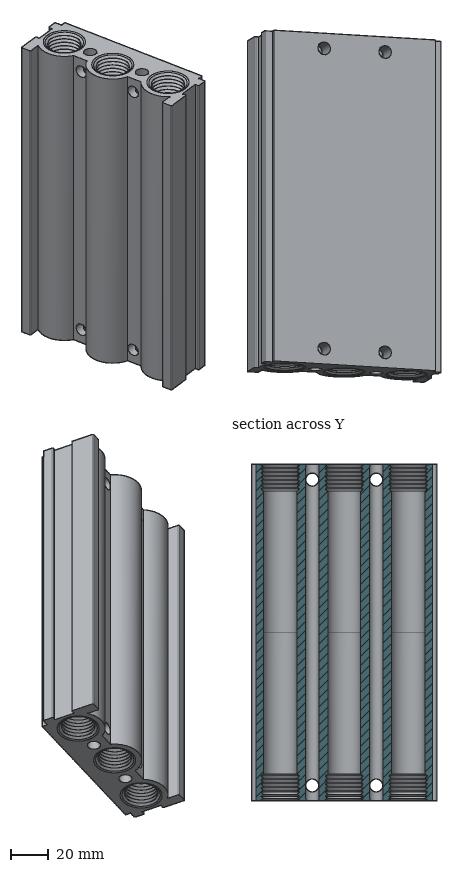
import cadquery as cq

width = 98.0
depth = 33.5
length = 178.0

back_width = 89.5
back_step_depth = 3.0
web_depth = 23.7

slot_floor_width = 93.5
slot_start = 9.0
slot_end = 20.1
slot_flare = 0.4

leg_width = 6.0

corner_radius = 0.5

boss_radius = 14.2
bore_spacing = 33.8
side_bore_y = -15.7
center_bore_y = -18.7
bore_diameter = 17.6
bores = [
    (-bore_spacing, side_bore_y),
    (0, center_bore_y),
    (bore_spacing, side_bore_y),
]

thread_mouth_diameter = 22.2
thread_root_diameter = 20.3
thread_pitch = 2.1
thread_turns = 7
thread_chamfer_depth = 0.4

small_hole_x = bore_spacing / 2
long_hole_diameter = 7.0
cross_hole_diameter = 6.8
cross_hole_end_distance = 8.2


def half_profile():
    """Points of the right half of the section, without the round bosses."""
    outer_x = width / 2
    back_x = back_width / 2
    leg_x = outer_x - leg_width
    return [
        (0, 0),
        (back_x, 0),
        (back_x, -back_step_depth),
        (outer_x, -back_step_depth),
        (outer_x, -depth),
        (leg_x, -depth),
        (leg_x, -web_depth),
        (0, -web_depth),
    ]


def extruded_body():
    half = cq.Workplane("XY").polyline(half_profile()).close().extrude(length)
    body = half.union(half.mirror("YZ"))
    bosses = cq.Workplane("XY").pushPoints(bores).circle(boss_radius).extrude(length)
    return body.union(bosses)


def side_slots():
    """Slots in both side faces that widen slightly towards their floor."""
    mouth_x = width / 2
    floor_x = slot_floor_width / 2
    outline = [
        (mouth_x, -slot_start),
        (floor_x, -slot_start + slot_flare),
        (floor_x, -slot_end - slot_flare),
        (mouth_x, -slot_end),
    ]
    slot = cq.Workplane("XY").polyline(outline).close().extrude(length)
    return slot.union(slot.mirror("YZ"))


def rounded_corners(body):
    """Round the lengthwise edges of the outer side faces and of the leg fronts."""
    outer_edges = body.faces("<X or >X").edges("|Z")
    leg_front_edges = body.faces("<Y").edges("|Z")
    return body.newObject(outer_edges.add(leg_front_edges).vals()).fillet(corner_radius)


def bore_cutter():
    """Through bore on the Z axis with a chamfered ring thread at both ends."""
    bore_radius = bore_diameter / 2
    root_radius = thread_root_diameter / 2
    outline = [(0, length / 2), (0, length), (thread_mouth_diameter / 2, length)]
    for turn in range(thread_turns):
        root_z = length - thread_chamfer_depth - turn * thread_pitch
        outline.append((root_radius, root_z))
        outline.append((bore_radius, root_z - thread_pitch / 2))
    outline.append((bore_radius, length / 2))
    upper = cq.Workplane("XZ").polyline(outline).close().revolve(360, (0, 0), (0, 1))
    lower = upper.mirror("XY", (0, 0, length / 2))
    return upper.union(lower)


def small_holes():
    columns = [-small_hole_x, small_hole_x]
    heights = [cross_hole_end_distance, length - cross_hole_end_distance]
    long_points = [(x, side_bore_y) for x in columns]
    cross_points = [(x, z) for x in columns for z in heights]
    long_holes = cq.Workplane("XY").pushPoints(long_points).circle(long_hole_diameter / 2).extrude(length)
    cross_holes = cq.Workplane("XZ").pushPoints(cross_points).circle(cross_hole_diameter / 2).extrude(depth)
    return long_holes.union(cross_holes)


result = rounded_corners(extruded_body().cut(side_slots())).cut(small_holes())
cutter = bore_cutter()
for bore_x, bore_y in bores:
    result = result.cut(cutter.translate((bore_x, bore_y, 0)))